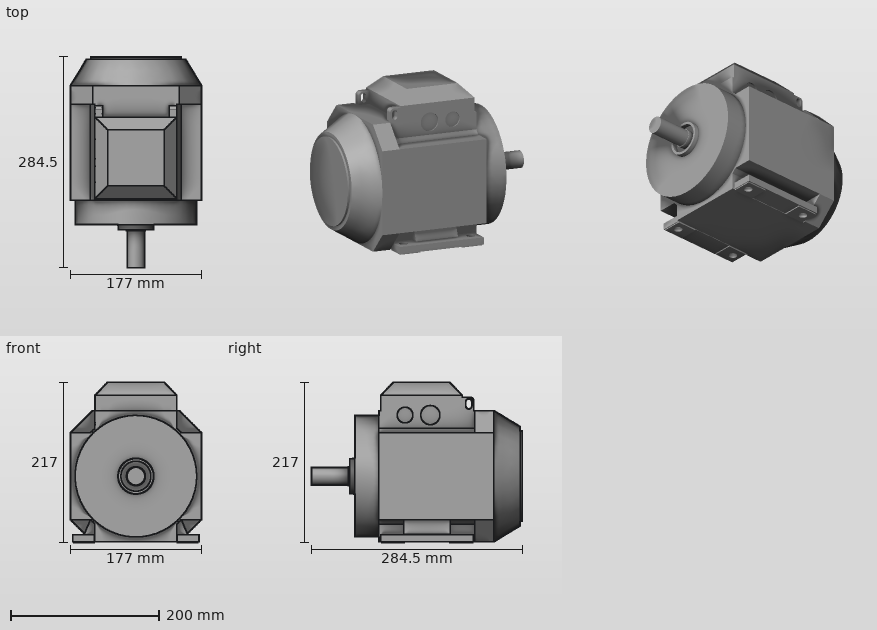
import cadquery as cq


shaft_length = 50.0
hub_front = 1.5
shield_front = 8.5
body_front = 41.0
body_back = 196.0
cover_back = 231.5
disc_back = 234.5
corner_cut_back = 170.5

axis_height = 90.0
body_half = 88.5
body_chamfer = 30.0
neck_half = 55.25
neck_chamfer = 6.0
ledge_height = body_half - body_chamfer

shield_radius = 82.0
hub_base_radius = 24.25
hub_rim_radius = 23.75
recess_radius = 20.3
recess_depth = 7.0
collar_radius = 12.8
shaft_radius = 12.0
cover_front_radius = 88.5
cover_back_radius = 67.0
disc_radius = 61.0

box_front = 43.5
box_length = 110.0
box_back = box_front + box_length
box_wall_top = 109.0
lid_top = 127.0
lid_inset = 17.25
knockout_height = 82.4
knockout_depth = 2.0
knockouts = [(110.4, 25.9), (76.3, 21.2)]

lug_back = 169.0
lug_top = 106.5
lug_thickness = 10.5
lug_corner_radius = 5.0
lug_slot_y = 162.25
lug_slot_z = 97.5
lug_slot_width = 8.0
lug_slot_height = 13.4

foot_center_y = 106.0
foot_length = 124.5
foot_inner = 56.0
foot_outer = 85.25
foot_thickness = 9.75
gusset_length = 62.5
gusset_outer = 69.5
gusset_shoulder = -78.0
pad_length = 30.5
pad_end_gap = 1.0
pad_outer = 83.5
hole_diameter = 12.0
hole_spacing_x = 140.0
hole_spacing_y = 100.0


def block(x_min, x_max, y_min, y_max, z_min, z_max):
    """Box between the given limits."""
    size = (x_max - x_min, y_max - y_min, z_max - z_min)
    return cq.Workplane("XY").box(*size, centered=False).translate((x_min, y_min, z_min))


def extrude_along_y(points, y_min, y_max):
    """Prism of an (x, z) outline between two stations on the shaft axis."""
    plane = cq.Workplane("XZ", origin=(0, y_min, 0))
    return plane.polyline(points).close().extrude(y_min - y_max)


def revolve_about_shaft(points):
    """Solid of revolution of a (radius, y) outline about the shaft axis."""
    return cq.Workplane("XY").polyline(points).close().revolve(360, (0, 0, 0), (0, 1, 0))


def both_sides(solid):
    """A -X solid together with its mirror image on the +X side."""
    return solid.union(solid.mirror("YZ"))


def make_body():
    length = body_back - body_front
    width = 2 * body_half
    body = cq.Workplane("XY").box(width, length, width)
    body = body.edges("|Y").chamfer(body_chamfer)
    body = body.translate((0, (body_front + body_back) / 2, 0))
    corner_cut = extrude_along_y(
        [
            (-body_half, ledge_height),
            (-neck_half - neck_chamfer, ledge_height),
            (-neck_half, ledge_height + neck_chamfer),
            (-neck_half, body_half),
            (-body_half, body_half),
        ],
        body_front,
        corner_cut_back,
    )
    upper_cuts = both_sides(corner_cut)
    return body.cut(upper_cuts).cut(upper_cuts.mirror("XY"))


def make_fan_cover():
    return revolve_about_shaft(
        [
            (0, body_back),
            (cover_front_radius, body_back),
            (cover_back_radius, cover_back),
            (disc_radius, cover_back),
            (disc_radius, disc_back),
            (0, disc_back),
        ]
    )


def make_drive_end():
    """End shield, tapered bearing hub with its recess, shaft collar and shaft."""
    recess_floor = hub_front + recess_depth
    return revolve_about_shaft(
        [
            (0, body_front),
            (shield_radius, body_front),
            (shield_radius, shield_front),
            (hub_base_radius, shield_front),
            (hub_rim_radius, hub_front),
            (recess_radius, hub_front),
            (recess_radius, recess_floor),
            (collar_radius, recess_floor),
            (collar_radius, 0),
            (shaft_radius, 0),
            (shaft_radius, -shaft_length),
            (0, -shaft_length),
        ]
    )


def make_terminal_box():
    box = block(-neck_half, neck_half, box_front, box_back, ledge_height, box_wall_top)
    lid_center = (0, (box_front + box_back) / 2, box_wall_top)
    lid = (
        cq.Workplane("XY", origin=lid_center)
        .rect(2 * neck_half, box_length)
        .workplane(offset=lid_top - box_wall_top)
        .rect(2 * (neck_half - lid_inset), box_length - 2 * lid_inset)
        .loft(ruled=True)
    )
    return box.union(lid)


def make_lug():
    lug = block(-neck_half, lug_thickness - neck_half, box_back, lug_back, ledge_height, lug_top)
    lug = lug.edges("|X and >Y and >Z").fillet(lug_corner_radius)
    slot = (
        cq.Workplane("YZ", origin=(-neck_half, lug_slot_y, lug_slot_z))
        .slot2D(lug_slot_height, lug_slot_width, 90)
        .extrude(lug_thickness)
    )
    return lug.cut(slot)


def make_knockout(y, diameter):
    """Shallow round recess in the side wall under the terminal box."""
    plane = cq.Workplane("YZ", origin=(-neck_half, y, knockout_height))
    return plane.circle(diameter / 2).extrude(knockout_depth)


def make_foot():
    foot_front = foot_center_y - foot_length / 2
    foot_back = foot_center_y + foot_length / 2
    foot_top = foot_thickness - body_half
    foot = block(-foot_outer, -foot_inner, foot_front, foot_back, -body_half, foot_top)

    gusset = extrude_along_y(
        [
            (-neck_half, -ledge_height - neck_chamfer),
            (-neck_half - neck_chamfer, -ledge_height),
            (-gusset_outer, gusset_shoulder),
            (-gusset_outer, foot_top),
            (-neck_half, foot_top),
        ],
        foot_center_y - gusset_length / 2,
        foot_center_y + gusset_length / 2,
    )
    foot = foot.union(gusset)

    front_pad_start = foot_front + pad_end_gap
    back_pad_start = foot_back - pad_end_gap - pad_length
    for pad_start in (front_pad_start, back_pad_start):
        pad_end = pad_start + pad_length
        foot = foot.union(block(-pad_outer, -foot_inner, pad_start, pad_end, -axis_height, -body_half))

    for side in (-1, 1):
        hole_y = foot_center_y + side * hole_spacing_y / 2
        plane = cq.Workplane("XY", origin=(-hole_spacing_x / 2, hole_y, -axis_height))
        hole = plane.circle(hole_diameter / 2).extrude(axis_height + foot_top)
        foot = foot.cut(hole)
    return foot


result = make_body().union(make_fan_cover()).union(make_drive_end()).union(make_terminal_box())
result = result.union(both_sides(make_lug())).union(both_sides(make_foot()))
for knockout_y, knockout_diameter in knockouts:
    result = result.cut(both_sides(make_knockout(knockout_y, knockout_diameter)))